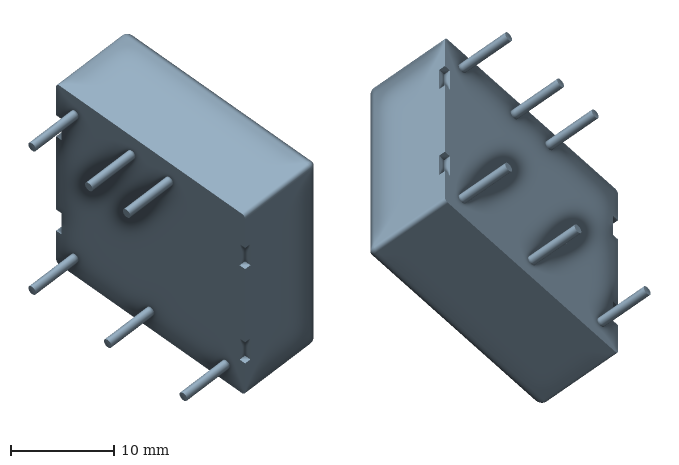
import cadquery as cq

SIDE = 25.4
DEPTH = 10.15
BACK_RADIUS = 1.0
CORNER_RADIUS = 0.45

NOTCH_SIZE = 0.74
NOTCH_HEIGHT = 3.0
NOTCH_OFFSET = 6.68

PIN_DIAMETER = 1.02
PIN_LENGTH = 6.0
GRID = 2.55
ROW_OFFSET = 4 * GRID
PIN_CENTERS = [
    (-4 * GRID, ROW_OFFSET),
    (-GRID, ROW_OFFSET),
    (GRID, ROW_OFFSET),
    (-4 * GRID, -ROW_OFFSET),
    (0, -ROW_OFFSET),
    (4 * GRID, -ROW_OFFSET),
]


def make_notch(x_sign, z_sign):
    """Cutter for one notch, centred on a side edge of the pin face."""
    return cq.Workplane("XY").box(2 * NOTCH_SIZE, 2 * NOTCH_SIZE, NOTCH_HEIGHT).translate(
        (x_sign * SIDE / 2, 0, z_sign * NOTCH_OFFSET)
    )


def make_housing():
    """Block with a rounded back, rounded corners and four edge notches."""
    block = cq.Workplane("XY").box(SIDE, DEPTH, SIDE).translate((0, DEPTH / 2, 0))
    block = block.faces(">Y").edges().fillet(BACK_RADIUS)
    block = block.edges("|Y").fillet(CORNER_RADIUS)
    for x_sign in (-1, 1):
        for z_sign in (-1, 1):
            block = block.cut(make_notch(x_sign, z_sign))
    return block


def make_pin(x, z):
    """Round pin butting against the pin face."""
    return cq.Workplane("XZ").center(x, z).circle(PIN_DIAMETER / 2).extrude(PIN_LENGTH)


housing = make_housing()
pins = [make_pin(x, z) for x, z in PIN_CENTERS]

result = cq.Compound.makeCompound([housing.solids().val(), *[pin.val() for pin in pins]])